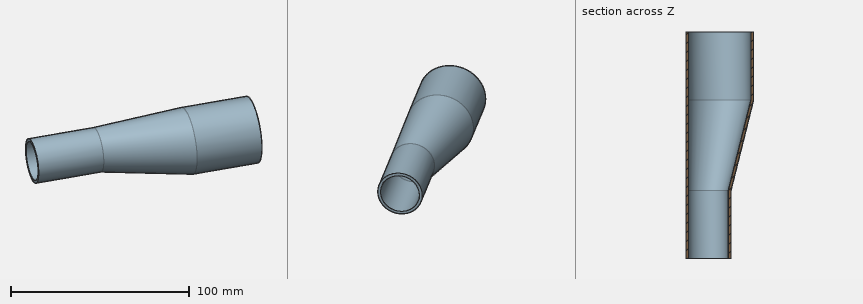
import cadquery as cq

large_diameter = 38.1
small_diameter = 25.4
wall = 1.7
large_length = 38.1
cone_length = 50.8
small_length = 38.1

axis_offset = (large_diameter - small_diameter) / 2
total_length = large_length + cone_length + small_length
large_end_y = total_length / 2
cone_start_y = large_end_y - large_length
cone_end_y = cone_start_y - cone_length


def reducer_body(inset):
    """Solid reducer whose radii are all reduced by inset."""
    large_radius = large_diameter / 2 - inset
    small_radius = small_diameter / 2 - inset

    large_tube = (
        cq.Workplane("XZ", origin=(0, large_end_y, 0))
        .circle(large_radius)
        .extrude(large_length)
    )
    cone = (
        cq.Workplane("XZ", origin=(0, cone_start_y, 0))
        .circle(large_radius)
        .workplane(offset=cone_length)
        .center(-axis_offset, 0)
        .circle(small_radius)
        .loft(ruled=True)
    )
    small_tube = (
        cq.Workplane("XZ", origin=(-axis_offset, cone_end_y, 0))
        .circle(small_radius)
        .extrude(small_length)
    )
    return large_tube.union(cone).union(small_tube)


result = reducer_body(0).cut(reducer_body(wall))